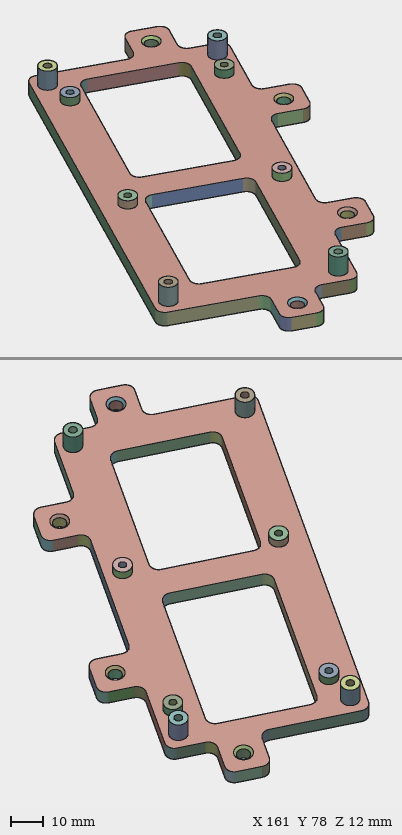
import cadquery as cq

plate_length = 133.0
plate_width = 64.0
plate_thickness = 5.0
corner_radius = 3.0

tab_size = 14.0
rear_tab_spacing = 64.0
side_tab_y = 10.0
tab_hole_diameter = 4.3
tab_countersink_diameter = 6.0
tab_countersink_angle = 90.0

window_width = 35.0
window_radius = 3.0
left_window_length = 55.0
right_window_length = 50.0
left_window_x = -32.5
right_window_x = 30.0

standoff_diameter = 6.0
tall_height = 7.0
tall_pilot_diameter = 2.6
tall_spacing_x = 121.5
tall_spacing_y = 54.0
tall_centre = (0.0, 0.0)
short_height = 3.0
short_pilot_diameter = 2.4
short_spacing_x = 58.0
short_spacing_y = 49.0
short_centre = (-21.75, 1.5)

half_length = plate_length / 2
half_width = plate_width / 2
tab_offset = tab_size / 2
rear_tab_centres = [(side * rear_tab_spacing / 2, half_width + tab_offset) for side in (-1, 1)]
side_tab_centres = [(side * (half_length + tab_offset), side_tab_y) for side in (-1, 1)]
tab_centres = rear_tab_centres + side_tab_centres


def make_plate():
    """Plate and tabs as one slab, with every outside and inside corner rounded."""
    plate = cq.Workplane("XY").rect(plate_length, plate_width).extrude(plate_thickness)
    tabs = cq.Workplane("XY").pushPoints(tab_centres).rect(tab_size, tab_size).extrude(plate_thickness)
    return plate.union(tabs).clean().edges("|Z").fillet(corner_radius)


def cut_window(body, centre_x, length):
    """Cut a rounded rectangular opening through the plate."""
    window = cq.Workplane("XY").center(centre_x, 0).rect(length, window_width).extrude(plate_thickness)
    return body.cut(window.edges("|Z").fillet(window_radius))


def cut_tab_holes(body):
    """Cut a through hole, countersunk from the top, in each tab."""
    top = body.copyWorkplane(cq.Workplane("XY").workplane(offset=plate_thickness))
    return top.pushPoints(tab_centres).cskHole(
        tab_hole_diameter, tab_countersink_diameter, tab_countersink_angle
    )


def add_standoffs(body, centre, spacing_x, spacing_y, height, pilot_diameter):
    """Add four tubular standoffs at the corners of a rectangle on top of the plate."""
    tubes = (
        cq.Workplane("XY")
        .workplane(offset=plate_thickness)
        .center(*centre)
        .rarray(spacing_x, spacing_y, 2, 2)
        .circle(standoff_diameter / 2)
        .circle(pilot_diameter / 2)
        .extrude(height)
    )
    return body.union(tubes)


result = make_plate()
result = cut_window(result, left_window_x, left_window_length)
result = cut_window(result, right_window_x, right_window_length)
result = cut_tab_holes(result)
result = add_standoffs(
    result, tall_centre, tall_spacing_x, tall_spacing_y, tall_height, tall_pilot_diameter
)
result = add_standoffs(
    result, short_centre, short_spacing_x, short_spacing_y, short_height, short_pilot_diameter
)